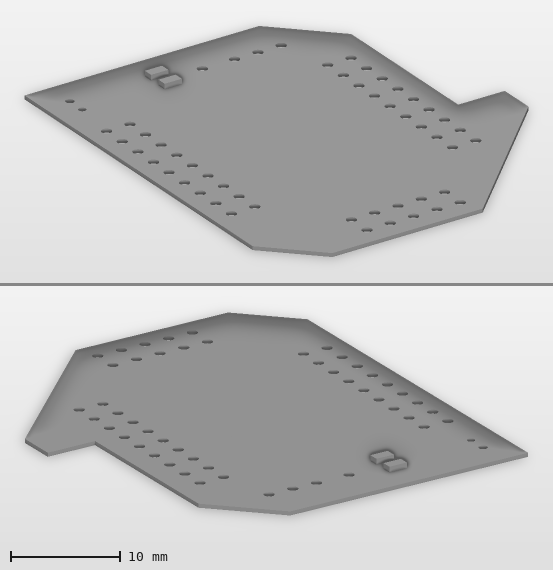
import cadquery as cq

board_length = 42.55
board_width = 36.85
board_thickness = 0.4
overall_height = 0.98
shoulder_y = 31.75
tab_left = 23.55
tab_top_width = 3.87
left_chamfer = 6.05
lower_right_chamfer = 5.25

pitch = 2.55
header_hole_diameter = 1.0
header_columns = 9
upper_header_center = (20.35, 27.7)
lower_header_center = (20.45, 3.4)
right_header_center = (39.05, 15.6)
right_header_rows = 5
side_column_x = 4.43
side_column_center_y = 22.6
side_column_rows = 3
single_hole_y = 16.5
small_holes_y = 2.75
small_holes = [(3.28, 0.85), (5.3, 0.75)]

chip_width = 1.0
chip_length = 1.87
chip_height = overall_height - board_thickness
terminal_length = 0.32
core_length = chip_length - 2 * terminal_length
chip_y = 12.2
chip_x_positions = [3.35, 5.57]


def make_blank():
    """Flat board with three sloping edges and a tab on its upper edge."""
    tab_right = tab_left + tab_top_width
    right_slope_drop = board_length - tab_right
    outline = [
        (0, 0),
        (board_length - lower_right_chamfer, 0),
        (board_length, lower_right_chamfer),
        (board_length, board_width - right_slope_drop),
        (tab_right, board_width),
        (tab_left, board_width),
        (tab_left, shoulder_y),
        (left_chamfer, shoulder_y),
        (0, shoulder_y - left_chamfer),
    ]
    return cq.Workplane("XY").polyline(outline).close().extrude(board_thickness)


def drill_grid(board, center, columns, rows):
    """Drill a centred grid of header holes through the board."""
    return (
        board.faces(">Z")
        .workplane(origin=(*center, board_thickness))
        .rarray(pitch, pitch, columns, rows)
        .hole(header_hole_diameter)
    )


def drill_hole(board, x, y, diameter):
    """Drill one hole through the board."""
    return board.faces(">Z").workplane(origin=(x, y, board_thickness)).hole(diameter)


def make_board():
    """Board with its header grids, side column and two small holes."""
    board = make_blank()
    board = drill_grid(board, upper_header_center, header_columns, 2)
    board = drill_grid(board, lower_header_center, header_columns, 2)
    board = drill_grid(board, right_header_center, 2, right_header_rows)
    board = drill_grid(board, (side_column_x, side_column_center_y), 1, side_column_rows)
    board = drill_hole(board, side_column_x, single_hole_y, header_hole_diameter)
    for x, diameter in small_holes:
        board = drill_hole(board, x, small_holes_y, diameter)
    return board


def make_chip_block(x, y, length):
    """Full-width block of a chip, centred at (x, y) on the board's top face."""
    return (
        cq.Workplane("XY", origin=(x, y, board_thickness))
        .box(chip_width, length, chip_height, centered=(True, True, False))
    )


def make_core(x):
    """Ceramic core of one chip."""
    return make_chip_block(x, chip_y, core_length)


def make_terminal(x, side):
    """End terminal of one chip; side is -1 or 1 along Y."""
    offset = (core_length + terminal_length) / 2
    return make_chip_block(x, chip_y + side * offset, terminal_length)


board = make_board()
cores = [make_core(x) for x in chip_x_positions]
terminals = [make_terminal(x, side) for x in chip_x_positions for side in (-1, 1)]

result = cq.Compound.makeCompound([body.val() for body in [board, *cores, *terminals]])